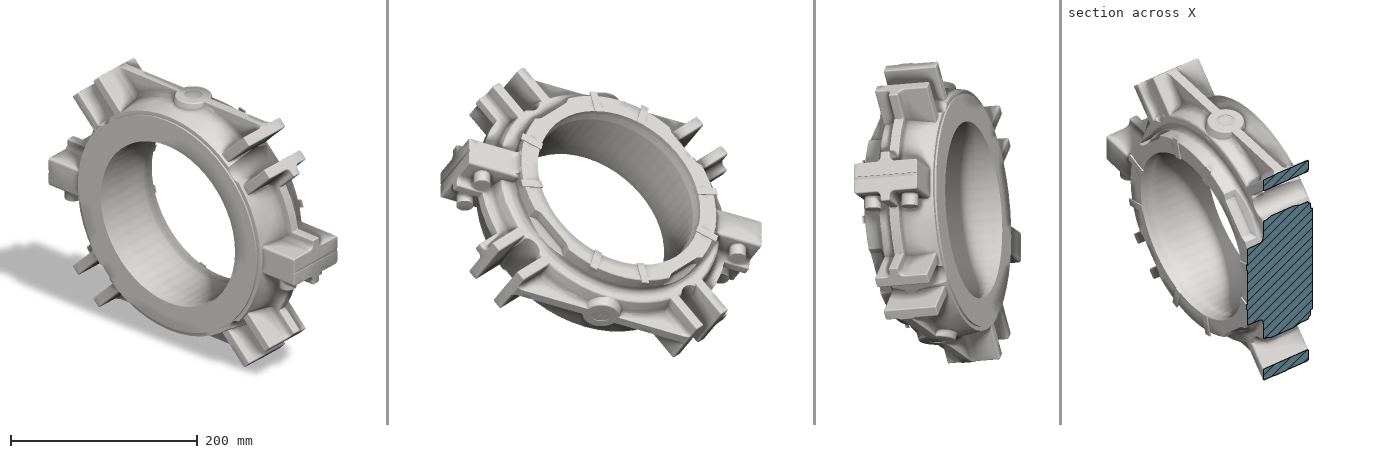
import cadquery as cq
length_x = 349.2
height_z = 282.0
half_x = length_x / 2
half_z = height_z / 2

front_y = -41.5
front_step_y = -39.5
lug_front_y = -36.3
lug_back_y = 23.0
ear_back_y = 35.3
collar_back_y = 43.5
back_y = 45.0

bore_radius = 190.5 / 2
relief_radius = 193.8 / 2
relief_depth = 5.2
relief_taper = 9.0
face_radius = 250.7 / 2
step_radius = 130.0
crown_radius = 137.0
shoulder_radius = 131.3
collar_radius = 116.5
collar_fillet = 3.5
shoulder_round = 2.8
rim_chamfer = 0.7

rib_radius = 147.0
rib_half = 5.2
rib_fillet = 5.5

slot_angle = 45
slot_half = 14.5
slot_centre = 140.5
lug_tip = 172.5
lug_root = 115.2
lug_thickness = 12.0
lug_rib_height = 10.5
lug_outer = slot_half + lug_thickness
edge_round = 1.7
tip_round = 1.5

ear_root = 111.7
ear_half_z = 16.8
ear_rib_half_z = 27.2
ear_round = 2.8
joint_depth = 1.0
joint_width = 3.0

bolt_diameter = 18.0
bolt_x = 152.5
bolt_y = 21.0
bolt_end_z = -30.0

boss_radius = 19.5
boss_root = 125.7
boss_draft = 15
recess_diameter = 19.2
recess_depth = 0.7

ear_collar_fillet = 6.3
flat_distance = 110.0
flat_half_width = 21.3
flat_flare = 2.2
flat_slope_y = 31.8
bar_inner = 95.7
bar_outer = 120.5
bar_width = 8.5
bar_angle = 15


def block(x_range, y_range, z_range):
    """Axis-aligned box between the given limits."""
    size = [high - low for low, high in (x_range, y_range, z_range)]
    corner = (x_range[0], y_range[0], z_range[0])
    return cq.Workplane("XY").box(*size, centered=False).translate(corner)


def inside(x_range, y_range, z_range):
    """Selector for edges that lie wholly within the given limits."""
    low, high = zip(x_range, y_range, z_range)
    return cq.selectors.BoxSelector(low, high, boundingbox=True)


def near(value, margin=0.5):
    return (value - margin, value + margin)


def both_sides(value):
    return (-value, value)


def revolve(points):
    """Revolve a (radius, y) outline about the Y axis."""
    return cq.Workplane("XY").polyline(points).close().revolve(360, (0, 0), (0, 1))


def disc(radius, y_range):
    sketch = cq.Workplane("XZ", origin=(0, y_range[0], 0)).circle(radius)
    return sketch.extrude(y_range[0] - y_range[1])


def plate(points, y_range):
    """Plate with an (x, z) outline between two Y positions."""
    sketch = cq.Workplane("XZ", origin=(0, y_range[0], 0)).polyline(points).close()
    return sketch.extrude(y_range[0] - y_range[1])


def about_axis(shape, angle):
    """Turn a shape about the ring axis, from +X toward +Z."""
    return shape.rotate((0, 0, 0), (0, 1, 0), -angle)


def with_mirror(shape, plane):
    return shape.union(shape.mirror(plane))


def make_ring():
    """Ring with its mid-plane rib, which reaches out to the webs at top and bottom."""
    crown_front = crown_radius - (crown_radius - step_radius) * rib_half / -front_step_y
    crown_back = crown_radius - (crown_radius - shoulder_radius) * rib_half / lug_back_y
    ring = revolve([
        (bore_radius, front_y),
        (face_radius, front_y),
        (face_radius, front_step_y),
        (step_radius, front_step_y),
        (crown_front, -rib_half),
        (half_x, -rib_half),
        (half_x, rib_half),
        (crown_back, rib_half),
        (shoulder_radius, lug_back_y),
        (collar_radius, lug_back_y),
        (collar_radius, collar_back_y),
        (relief_radius, collar_back_y),
        (relief_radius, collar_back_y - relief_depth),
        (bore_radius, collar_back_y - relief_depth - relief_taper),
    ])
    reach = both_sides(crown_radius)
    ring = ring.edges(inside(reach, both_sides(rib_half + 0.5), reach)).fillet(rib_fillet)
    neck = ring.edges(inside(reach, near(lug_back_y), reach))
    ring = neck.edges(cq.selectors.RadiusNthSelector(0)).fillet(collar_fillet)
    shoulder = ring.edges(inside(reach, near(lug_back_y), reach))
    ring = shoulder.edges(cq.selectors.RadiusNthSelector(-1)).fillet(shoulder_round)
    rim = ring.edges(inside(reach, near(collar_back_y), reach))
    ring = rim.edges(cq.selectors.RadiusNthSelector(-1)).chamfer(rim_chamfer)

    full_depth = (front_y, collar_back_y)
    apex = lug_outer * 2 ** 0.5
    web = plate([(0, apex), (half_z - apex, half_z), (apex - half_z, half_z)], full_depth)
    outline = with_mirror(web, "XY").union(disc(rib_radius, full_depth))
    ring = ring.intersect(outline)
    return ring.intersect(block(both_sides(half_x), full_depth, both_sides(half_z)))


def cut_collar_flat(ring, angle):
    """Flat pad across the collar that slopes outward toward the ring body."""
    outside = collar_radius + collar_fillet
    profile = [
        (flat_distance, collar_back_y),
        (flat_distance, flat_slope_y),
        (outside, lug_back_y),
        (outside, collar_back_y),
    ]
    flare = (outside - flat_distance) * flat_flare
    outline = [
        (flat_distance, -flat_half_width),
        (flat_distance, flat_half_width),
        (outside, flat_half_width + flare),
        (outside, -flat_half_width - flare),
    ]
    wedge = plate(outline, (lug_back_y, collar_back_y))
    cutter = cq.Workplane("XY").polyline(profile).close().extrude(half_x, both=True)
    return ring.cut(about_axis(cutter.intersect(wedge), angle))


def make_lug(side):
    """Lug with a T section; side is +1 above the slot of the +X +Z quarter, -1 below."""
    along = (lug_root, lug_tip)
    lug = block(along, (lug_front_y, lug_back_y), (slot_half, lug_outer))
    rib = block(along, both_sides(rib_half), (lug_outer, lug_outer + lug_rib_height))
    lug = lug.union(rib)
    root = inside((lug_root - 3.5, lug_tip + 3.5), both_sides(rib_half + 0.5), near(lug_outer))
    lug = lug.edges(root).edges("|X").fillet(rib_fillet)
    lug = lug.edges("|X and (<Y or >Y or >Z)").fillet(edge_round)
    lug = lug.faces(">X").edges().fillet(tip_round)
    if side < 0:
        lug = lug.mirror("XY")
    return about_axis(lug, slot_angle)


def make_collar_gusset():
    """Concave blend from the back of an ear up to the collar."""
    start_x = collar_radius + ear_collar_fillet
    end_y = ear_back_y + ear_collar_fillet
    sketch = cq.Workplane("XY").moveTo(ear_root, ear_back_y - ear_collar_fillet)
    sketch = sketch.lineTo(start_x, ear_back_y - ear_collar_fillet).lineTo(start_x, ear_back_y)
    sketch = sketch.radiusArc((collar_radius, end_y), ear_collar_fillet)
    sketch = sketch.lineTo(ear_root, end_y).close()
    return sketch.extrude(ear_half_z - ear_round, both=True)


def make_ear():
    """Clamp ear on the +X side with a raised mid rib and a joint line."""
    depth = (lug_front_y, ear_back_y)
    ear = block((ear_root, half_x), depth, both_sides(ear_half_z))
    rib = block((ear_root, half_x), both_sides(rib_half), both_sides(ear_rib_half_z))
    ear = ear.union(rib)
    for z in (ear_half_z, -ear_half_z):
        root = inside((ear_root - 3.5, half_x + 3.5), both_sides(rib_half + 0.5), near(z))
        ear = ear.edges(root).edges("|X").fillet(rib_fillet)
    ear = ear.edges("|X and (<Y or >Y)").fillet(ear_round)
    ear = ear.edges("|X and (<Z or >Z)").fillet(edge_round)
    ear = ear.faces(">X").edges().fillet(tip_round)
    joint = block((half_x - joint_depth, half_x), depth, both_sides(joint_width / 2))
    ear = ear.cut(joint)
    ear = ear.union(make_collar_gusset())
    for y in (-bolt_y, bolt_y):
        bolt = cq.Workplane("XY").center(bolt_x, y).circle(bolt_diameter / 2).extrude(bolt_end_z)
        ear = ear.union(bolt)
    return ear


def make_boss():
    top = cq.Workplane("XY").workplane(offset=half_z).circle(boss_radius)
    boss = top.extrude(boss_root - half_z, taper=-boss_draft)
    return boss.faces(">Z").edges().fillet(edge_round)


def make_recess():
    floor = cq.Workplane("XY").workplane(offset=half_z - recess_depth)
    return floor.circle(recess_diameter / 2).extrude(recess_depth)


def cut_slot(part, angle):
    """Round-bottomed opening between a pair of lugs."""
    slot_y = (front_y, lug_back_y)
    cutter = disc(slot_half, slot_y).translate((slot_centre, 0, 0))
    channel = block((slot_centre, half_x + slot_half), slot_y, both_sides(slot_half))
    return part.cut(about_axis(cutter.union(channel), angle))


def make_bar(angle):
    """Thin radial bar on the back of the collar."""
    bar = block((bar_inner, bar_outer), (collar_back_y - 0.5, back_y), both_sides(bar_width / 2))
    return about_axis(bar, angle)


quarter_angles = [slot_angle + 90 * quarter for quarter in range(4)]

ring = make_ring()
for angle in quarter_angles:
    ring = cut_collar_flat(ring, angle)

lugs = with_mirror(make_lug(1).union(make_lug(-1)), "YZ")
lugs = with_mirror(lugs, "XY")

result = ring.union(lugs)
for angle in quarter_angles:
    result = cut_slot(result, angle)
result = result.union(with_mirror(make_ear(), "YZ"))
result = result.union(with_mirror(make_boss(), "XY"))
for middle in (0, 90, 180, 270):
    for offset in (-bar_angle, bar_angle):
        result = result.union(make_bar(middle + offset))

envelope = block(both_sides(half_x), (front_y, back_y), both_sides(half_z))
result = result.intersect(envelope)
result = result.cut(with_mirror(make_recess(), "XY"))